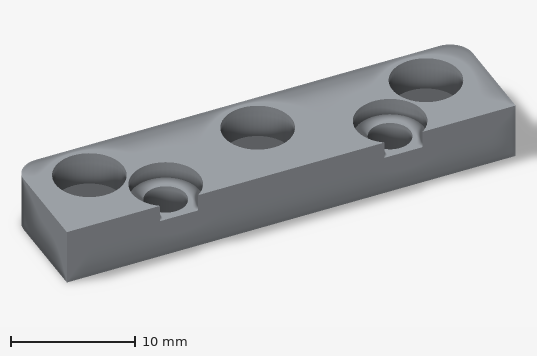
import cadquery as cq

width = 10.0
length = 40.0
height = 5.0
corner_radius = 2.0

pocket_diameter = 6.0
pocket_depth = 3.0
pocket_spacing = 15.0
pocket_inset = 3.75

screw_diameter = 3.6
counterbore_diameter = 6.0
counterbore_depth = 1.5
screw_spacing = 20.0
screw_inset = 2.5

pocket_x = -width / 2 + pocket_inset
screw_x = width / 2 - screw_inset
pocket_centres = [(pocket_x, row * pocket_spacing) for row in (-1, 0, 1)]
screw_centres = [(screw_x, side * screw_spacing / 2) for side in (-1, 1)]


def cylinders_from_top(centres, diameter, depth):
    """Cutting cylinders reaching down from the top face."""
    return (
        cq.Workplane("XY", origin=(0, 0, height))
        .pushPoints(centres)
        .circle(diameter / 2)
        .extrude(-depth)
    )


plate = (
    cq.Workplane("XY")
    .box(width, length, height, centered=(True, True, False))
    .edges("|Z and <X")
    .fillet(corner_radius)
)

result = (
    plate
    .cut(cylinders_from_top(pocket_centres, pocket_diameter, pocket_depth))
    .cut(cylinders_from_top(screw_centres, counterbore_diameter, counterbore_depth))
    .cut(cylinders_from_top(screw_centres, screw_diameter, height))
)